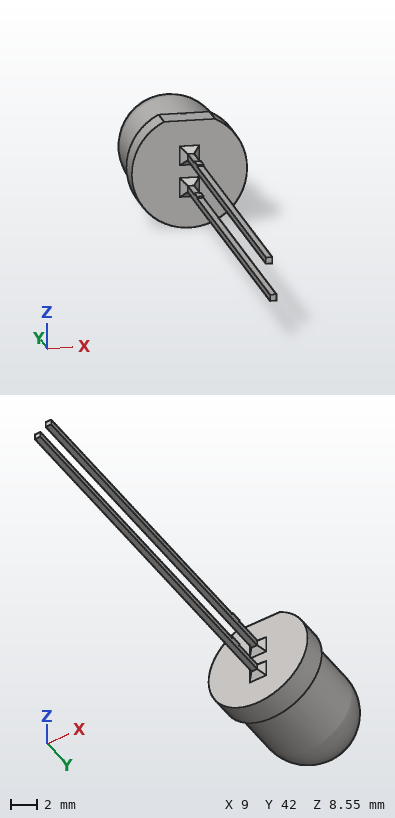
import cadquery as cq

overall_length = 42.0

lens_radius = 4.0
barrel_length = 5.0
flange_radius = 4.5
flange_thickness = 2.0
flat_height = 4.05

lead_thickness = 0.5
lead_pitch = 2.5
lead_length_difference = 1.5

collar_length = 0.5
collar_base = lead_thickness + 2 * collar_length

stop_start = 3.0
stop_length = 1.0
stop_rise = 0.13

barrel_end = flange_thickness + barrel_length
body_length = barrel_end + lens_radius
long_lead_length = overall_length - body_length
short_lead_length = long_lead_length - lead_length_difference


def make_lens():
    """Solid of revolution: straight barrel with a hemispherical nose."""
    nose_middle = lens_radius * 0.5 ** 0.5
    return (
        cq.Workplane("XY")
        .lineTo(lens_radius, 0)
        .lineTo(lens_radius, barrel_end)
        .threePointArc((nose_middle, barrel_end + nose_middle), (0, body_length))
        .close()
        .revolve(360, (0, 0), (0, 1))
    )


def make_flange():
    """Round disc with one flat on its upper side."""
    disc = cq.Workplane("XZ").circle(flange_radius).extrude(-flange_thickness)
    flange_height = flange_radius + flat_height
    below_flat = (
        cq.Workplane("XY")
        .workplane(offset=-flange_radius)
        .box(2 * flange_radius, flange_thickness, flange_height, centered=(True, False, False))
    )
    return disc.intersect(below_flat)


def make_lead(height, length):
    """Square lead pointing along -Y, with its root collar and raised stop."""
    root = cq.Workplane("XZ").center(0, height)
    wire = root.rect(lead_thickness, lead_thickness).extrude(length)
    collar = (
        root.rect(collar_base, collar_base)
        .workplane(offset=collar_length)
        .rect(lead_thickness, lead_thickness)
        .loft(ruled=True)
    )
    stop = (
        root.workplane(offset=stop_start)
        .center(0, stop_rise / 2)
        .rect(lead_thickness, lead_thickness + stop_rise)
        .extrude(stop_length)
    )
    return wire.union(collar).union(stop)


result = (
    make_lens()
    .union(make_flange())
    .union(make_lead(lead_pitch / 2, short_lead_length))
    .union(make_lead(-lead_pitch / 2, long_lead_length))
)